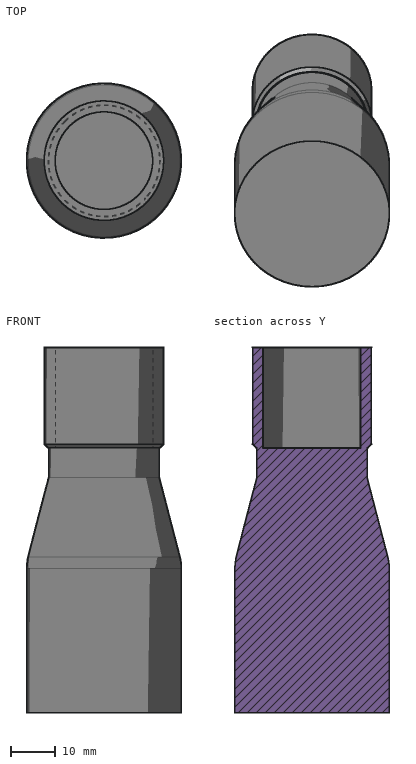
import cadquery as cq

total_height = 82.5
body_diameter = 35.0
neck_diameter = 25.0
collar_diameter = 27.0
bore_diameter = 22.0

body_top = 32.7
shoulder_top = 35.2
shoulder_diameter = 34.3
neck_bottom = 53.1
collar_bottom = 59.8
collar_chamfer = 0.8
bore_depth = total_height - collar_bottom

body_radius = body_diameter / 2
neck_radius = neck_diameter / 2
collar_radius = collar_diameter / 2


def make_outer_body():
    """Revolve the stepped, tapered outline about the Z axis."""
    outline = (
        cq.Workplane("XZ")
        .lineTo(body_radius, 0)
        .lineTo(body_radius, body_top)
        .tangentArcPoint((shoulder_diameter / 2, shoulder_top), relative=False)
        .lineTo(neck_radius, neck_bottom)
        .lineTo(neck_radius, collar_bottom)
        .lineTo(collar_radius - collar_chamfer, collar_bottom)
        .lineTo(collar_radius, collar_bottom + collar_chamfer)
        .lineTo(collar_radius, total_height)
        .lineTo(0, total_height)
        .close()
    )
    return outline.revolve(360, (0, 0, 0), (0, 1, 0))


def make_bore():
    """Flat-bottomed socket sunk from the top face."""
    return (
        cq.Workplane("XY")
        .workplane(offset=total_height - bore_depth)
        .circle(bore_diameter / 2)
        .extrude(bore_depth)
    )


result = make_outer_body().cut(make_bore())